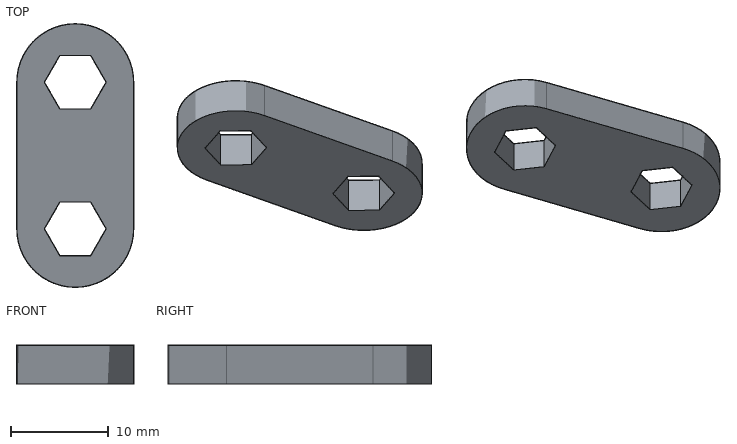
import cadquery as cq
import math

length = 27.0
width = 12.0
thickness = 4.0
hex_across_flats = 5.45

hole_spacing = length - width
hex_across_corners = hex_across_flats / math.cos(math.radians(30))

plate = cq.Workplane("XY").slot2D(length, width, 90).extrude(thickness)

hex_holes = (
    cq.Workplane("XY")
    .rarray(0.27, hole_spacing, 1, 2)
    .polygon(6, hex_across_corners)
    .extrude(thickness)
)

result = plate.cut(hex_holes)